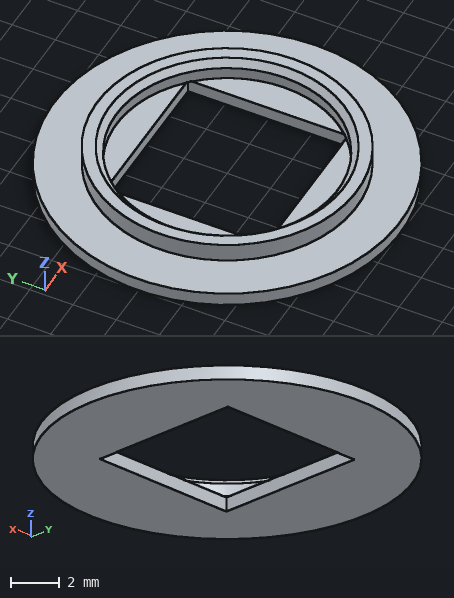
import cadquery as cq

flange_diameter = 16.0
flange_thickness = 0.64
total_height = 1.5
ring_diameter = 11.97

bore_diameter = 10.2
mouth_chamfer = 0.3

opening_side = 7.4


def disc(diameter, height):
    return cq.Workplane("XY").circle(diameter / 2).extrude(height)


def chamfered_ring():
    ring_height = total_height - flange_thickness
    ring = (
        cq.Workplane("XY")
        .workplane(offset=flange_thickness)
        .circle(ring_diameter / 2)
        .circle(bore_diameter / 2)
        .extrude(ring_height)
    )
    return ring.faces(">Z").edges(cq.selectors.RadiusNthSelector(0)).chamfer(mouth_chamfer)


def square_opening():
    return cq.Workplane("XY").rect(opening_side, opening_side).extrude(flange_thickness)


flange = disc(flange_diameter, flange_thickness).cut(square_opening())
result = flange.union(chamfered_ring())